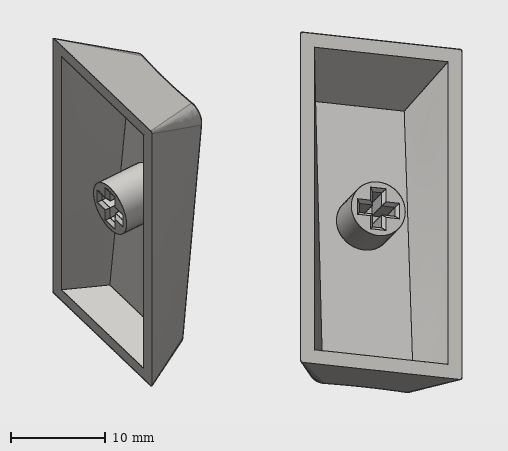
import cadquery as cq
import math

width = 18.0
height = 8.65
length = 37.08
open_y = -height / 2
bottom_z = -length / 2

base_corner_radius = 0.22
top_width = 12.3
top_length = 33.08
tall_height = 8.75
short_height = 6.0
top_corner_radius = 1.85
rim_radius = 0.22
dish_depth = 0.4

wall = 1.55
cavity_width = width - 2 * wall
cavity_length = length - 2 * wall
floor_width_upper = 9.85
floor_width_lower = 10.1
floor_length = 30.6
floor_depth_upper = 7.25
floor_depth_lower = 4.6

stem_diameter = 6.0
stem_recess = 1.0
cross_span = 3.93
cross_arm = 1.0
cross_chamfer = 0.37
chamfer_angle = 45
cross_depth = 3.7


def sloped_plane(z, depth, rise, run):
    """Plane through (0, depth, z) with its local y climbing along the slope."""
    return cq.Plane(
        origin=(0, open_y + depth, z),
        xDir=(1, 0, 0),
        normal=(0, -run, rise),
    )


def rounded_rectangle(plane, lower_width, upper_width, size, radius):
    """Wire with its lower edge on the plane's local x axis; radius 0 gives sharp corners."""
    corners = [
        (-lower_width / 2, 0),
        (lower_width / 2, 0),
        (upper_width / 2, size),
        (-upper_width / 2, size),
    ]
    outline = cq.Workplane(plane).polyline(corners).close()
    wire = outline.val()
    if radius > 0:
        wire = wire.fillet2D(radius, wire.Vertices())
    return wire


def loft_from_opening(start_z, base_size, base_radius, lower, upper, top_widths, top_radius):
    """Ruled solid from the open side to a sloping face given by its (z, depth) ends."""
    rise = upper[1] - lower[1]
    run = upper[0] - lower[0]
    base_plane = sloped_plane(start_z, 0, 0, 1)
    top_plane = sloped_plane(*lower, rise, run)
    base = rounded_rectangle(base_plane, base_size[0], base_size[0], base_size[1], base_radius)
    top = rounded_rectangle(top_plane, *top_widths, math.hypot(rise, run), top_radius)
    return cq.Workplane(cq.Solid.makeLoft([base, top], True))


def make_shell():
    body = loft_from_opening(
        bottom_z,
        (width, length),
        base_corner_radius,
        (bottom_z, short_height),
        (bottom_z + top_length, tall_height),
        (top_width, top_width),
        top_corner_radius,
    )
    rim_zone = cq.selectors.BoxSelector(
        (-width, open_y + short_height - 2 * dish_depth, -length),
        (width, tall_height, length),
    )
    return body.cut(make_dish()).edges(rim_zone).fillet(rim_radius)


def make_dish():
    """Shallow cylinder running along the sloping top face."""
    radius = ((top_width / 2) ** 2 + dish_depth ** 2) / (2 * dish_depth)
    slope = (tall_height - short_height) / top_length
    direction = cq.Vector(0, slope, 1)
    normal = cq.Vector(0, 1, -slope).normalized()
    start = cq.Vector(0, open_y + short_height, bottom_z) + normal * (radius - dish_depth)
    start = start - direction * length
    return cq.Workplane(cq.Solid.makeCylinder(radius, 3 * length, start, direction))


def make_cavity():
    floor_z = bottom_z + wall
    return loft_from_opening(
        floor_z,
        (cavity_width, cavity_length),
        0,
        (floor_z, floor_depth_lower),
        (floor_z + floor_length, floor_depth_upper),
        (floor_width_lower, floor_width_upper),
        0,
    )


def make_stem():
    front = cq.Workplane("XZ", origin=(0, open_y + stem_recess, 0))
    return front.circle(stem_diameter / 2).extrude(-height)


def make_cross():
    front = cq.Workplane("XZ", origin=(0, open_y + stem_recess, 0))
    bars = front.rect(cross_span, cross_arm).extrude(-cross_depth)
    bars = bars.union(front.rect(cross_arm, cross_span).extrude(-cross_depth))
    flare = 2 * cross_chamfer
    for size in ((cross_span, cross_arm), (cross_arm, cross_span)):
        mouth = front.rect(size[0] + flare, size[1] + flare)
        bars = bars.union(mouth.extrude(-cross_chamfer, taper=chamfer_angle))
    return bars


cavity = make_cavity().cut(make_stem()).union(make_cross())
result = make_shell().cut(cavity)